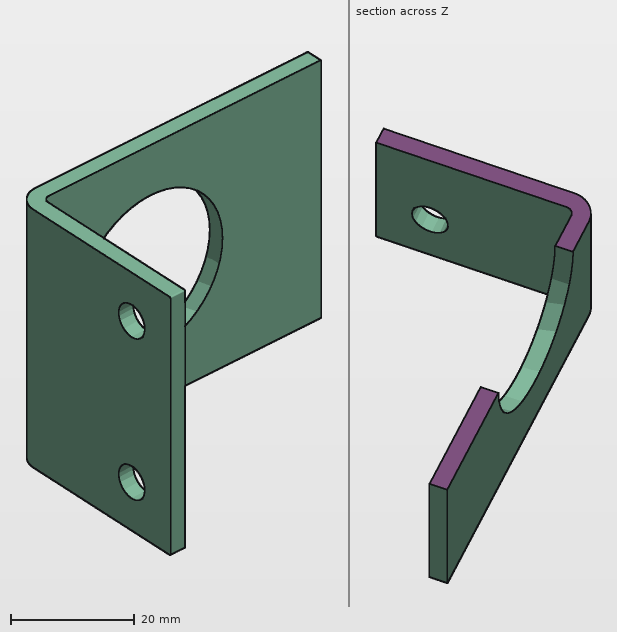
import cadquery as cq

short_leg = 38.1
long_leg = 63.5
height = 50.8
thickness = 3.175
outer_bend_radius = 4.5
inner_bend_radius = outer_bend_radius - thickness
corner_radius = 0.25

mount_hole_diameter = 6.35
mount_hole_inset = 9.525

window_diameter = 31.0
window_from_bend = 26.6


def make_bent_plate():
    """L-shaped sheet with its outer bend corner at the origin."""
    plate = (
        cq.Workplane("XY")
        .polyline([
            (0, 0),
            (short_leg, 0),
            (short_leg, thickness),
            (thickness, thickness),
            (thickness, long_leg),
            (0, long_leg),
        ])
        .close()
        .extrude(height)
    )
    outer_bend_edge = cq.selectors.NearestToPointSelector((0, 0, height / 2))
    plate = plate.edges(outer_bend_edge).fillet(outer_bend_radius)
    inner_bend_edge = cq.selectors.NearestToPointSelector((thickness, thickness, height / 2))
    return plate.edges(inner_bend_edge).fillet(inner_bend_radius)


def round_free_corners(plate):
    """Round the corners at the free end of each leg."""
    plate = plate.faces(">X").edges("|Y").fillet(corner_radius)
    return plate.faces(">Y").edges("|X").fillet(corner_radius)


def make_mount_holes():
    """Two cylinders through the short leg, one near each edge."""
    hole_x = short_leg - mount_hole_inset
    hole_heights = (mount_hole_inset, height - mount_hole_inset)
    return (
        cq.Workplane("XZ", origin=(0, thickness, 0))
        .pushPoints([(hole_x, z) for z in hole_heights])
        .circle(mount_hole_diameter / 2)
        .extrude(thickness)
    )


def make_window():
    """Large round opening through the long leg, at mid height."""
    return (
        cq.Workplane("YZ")
        .center(window_from_bend, height / 2)
        .circle(window_diameter / 2)
        .extrude(thickness)
    )


bracket = round_free_corners(make_bent_plate())
result = bracket.cut(make_mount_holes()).cut(make_window())